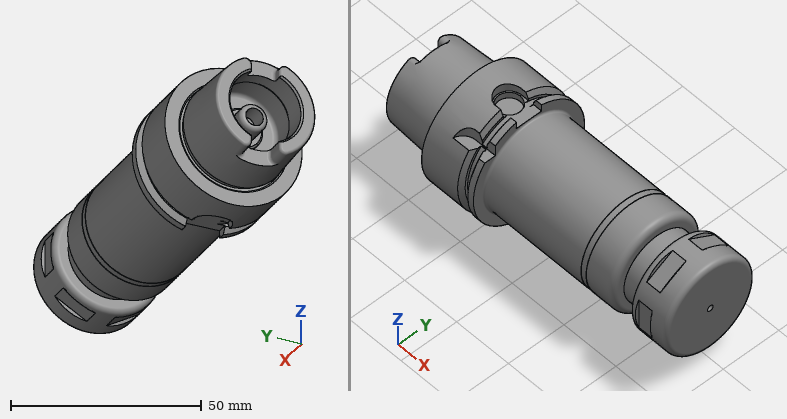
import cadquery as cq
import math

LENGTH = 110.0

TOLERANCE = 0.01

TAPER_RADIUS = 14.4
TAPER_RATIO = 0.1
TAPER_END = 18.0
TAPER_LAND = 0.5
RELIEF_RADIUS = 14.7
SHANK_EDGE = 0.8

FLANGE_X = 20.0
FLANGE_END = 40.0
FLANGE_RADIUS = 20.0
FACE_RECESS_RADIUS = 16.0
FACE_RECESS_SLOPE = 0.4
FACE_RECESS_DEPTH = 0.3
GROOVE_START = 35.0
GROOVE_WIDTH = 1.9
GROOVE_RADIUS = 17.4
GROOVE_FLANK_HEIGHT = 1.8

BODY_RADIUS = 32.0 / 2
BODY_ROOT = 0.8
BODY_END = 89.5
BODY_ROUND = 2.1
BAND_START = 77.2
BAND_WIDTH = 2.0
BAND_DEPTH = 0.1
NECK_RADIUS = 24.0 / 2

NUT_START = 96.0
NUT_RADIUS = BODY_RADIUS
NUT_ROUND = 1.6
FLAT_COUNT = 6
FLAT_START = 98.6
FLAT_END = 103.7
FLAT_RADIUS = 15.1
FLAT_END_SLOPE = 0.3

MOUTH_RADIUS = 10.3
MOUTH_CHAMFER = 0.5
LIP_X = 7.7
HOLLOW_RADIUS = 11.0
HOLLOW_DEPTH = 16.5
HOLLOW_ROUND = 1.3

TUBE_X = 7.2
TUBE_RADIUS = 8.0 / 2
TUBE_NOSE_ROUND = 1.2
TUBE_BORE_RADIUS = 5.1 / 2
TUBE_BORE_DEPTH = 5.5
COLLAR_RADIUS = 12.0 / 2
COLLAR_HEIGHT = 2.2
COLLAR_CHAMFER = 0.5
COOLANT_RADIUS = 2.0 / 2

DRIVE_HALF_WIDTH = 4.1
DRIVE_TOP_DEPTH = 3.4
DRIVE_BOTTOM_DEPTH = 6.2
DRIVE_FLOOR_ROUND = 0.9
DRIVE_MOUTH_ROUND = 1.6

KEY_END_X = 27.8
KEY_FLOOR = 17.0
KEY_TOP_WIDTH = 9.0
KEY_BOTTOM_WIDTH = 11.0
POCKET_DIAMETER = 8.0
POCKET_DEPTH = 2.2
NOTCH_FLOOR = 12.1
NOTCH_WIDTH = 9.5


def cylinder(start, end, radius):
    return cq.Workplane("YZ", origin=(start, 0, 0)).circle(radius).extrude(end - start)


def revolved(profile):
    """Solid of revolution about X from (x, radius) points."""
    return cq.Workplane("XY").polyline(profile).close().revolve(360, (0, 0, 0), (1, 0, 0))


def shank_and_flange():
    taper_end_radius = TAPER_RADIUS + TAPER_END * TAPER_RATIO / 2
    flank_width = GROOVE_FLANK_HEIGHT / math.sqrt(3)
    flank_radius = FLANGE_RADIUS - GROOVE_FLANK_HEIGHT
    groove_end = GROOVE_START + GROOVE_WIDTH
    recess_x = FLANGE_X + FACE_RECESS_DEPTH
    profile = [
        (0, 0),
        (0, TAPER_RADIUS),
        (TAPER_END, taper_end_radius),
        (TAPER_END + TAPER_LAND, taper_end_radius),
        (TAPER_END + TAPER_LAND, RELIEF_RADIUS),
        (recess_x, RELIEF_RADIUS),
        (recess_x, FACE_RECESS_RADIUS - FACE_RECESS_SLOPE),
        (FLANGE_X, FACE_RECESS_RADIUS),
        (FLANGE_X, FLANGE_RADIUS),
        (GROOVE_START - flank_width, FLANGE_RADIUS),
        (GROOVE_START, flank_radius),
        (GROOVE_START, GROOVE_RADIUS),
        (groove_end, GROOVE_RADIUS),
        (groove_end, flank_radius),
        (groove_end + flank_width, FLANGE_RADIUS),
        (FLANGE_END, FLANGE_RADIUS),
        (FLANGE_END, 0),
    ]
    return revolved(profile)


def hollow():
    lip_end = LIP_X + HOLLOW_RADIUS - MOUTH_RADIUS
    profile = [
        (0, 0),
        (0, MOUTH_RADIUS + MOUTH_CHAMFER),
        (MOUTH_CHAMFER, MOUTH_RADIUS),
        (LIP_X, MOUTH_RADIUS),
        (lip_end, HOLLOW_RADIUS),
        (HOLLOW_DEPTH, HOLLOW_RADIUS),
        (HOLLOW_DEPTH, 0),
    ]
    return revolved(profile).faces(">X").edges().fillet(HOLLOW_ROUND)


def drive_slot(depth):
    """Square-cornered slot open at the shank end and upward."""
    return cq.Workplane("XY").box(
        2 * depth, 2 * DRIVE_HALF_WIDTH, FLANGE_RADIUS, centered=(True, True, False)
    )


def is_on_drive_slot_wall(edge):
    return abs(abs(edge.Center().y) - DRIVE_HALF_WIDTH) < TOLERANCE


def is_drive_slot_mouth(edge):
    """True for the four edges where the slot walls meet the tapered surface."""
    box = edge.BoundingBox()
    in_shank_wall = abs(edge.Center().z) > TAPER_RADIUS / 2
    return is_on_drive_slot_wall(edge) and in_shank_wall and box.xmin < TOLERANCE < box.xlen


def is_drive_slot_corner(edge):
    """True for the four straight edges where the slot walls meet the slot floors."""
    box = edge.BoundingBox()
    return is_on_drive_slot_wall(edge) and box.xmin > TOLERANCE > box.xlen


def round_edges(solid, is_wanted, radius):
    wanted = [edge for edge in solid.edges().vals() if is_wanted(edge)]
    return solid.newObject(wanted).fillet(radius)


def slotted_shank():
    """Shank with both drive slots, their edges and the open end rounded, then hollowed."""
    shank = shank_and_flange().cut(drive_slot(DRIVE_TOP_DEPTH))
    shank = shank.cut(turned_over(drive_slot(DRIVE_BOTTOM_DEPTH)))
    shank = round_edges(shank, is_drive_slot_mouth, DRIVE_MOUTH_ROUND)
    shank = round_edges(shank, is_drive_slot_corner, DRIVE_FLOOR_ROUND)
    shank = shank.faces("<X").edges().fillet(SHANK_EDGE)
    return shank.cut(hollow())


def body_neck_and_nut():
    root_x = FLANGE_END + BODY_ROOT
    bend = BODY_ROOT * (1 - math.sqrt(0.5))
    root = (
        cq.Workplane("XY")
        .moveTo(FLANGE_END, 0)
        .lineTo(FLANGE_END, BODY_RADIUS + BODY_ROOT)
        .threePointArc((FLANGE_END + bend, BODY_RADIUS + bend), (root_x, BODY_RADIUS))
        .lineTo(root_x, 0)
        .close()
        .revolve(360, (0, 0, 0), (1, 0, 0))
    )
    body = cylinder(root_x, BODY_END, BODY_RADIUS).faces(">X").edges().fillet(BODY_ROUND)
    band_end = BAND_START + BAND_WIDTH
    band = cylinder(BAND_START, band_end, BODY_RADIUS).cut(
        cylinder(BAND_START, band_end, BODY_RADIUS - BAND_DEPTH)
    )
    neck = cylinder(BODY_END, NUT_START, NECK_RADIUS)
    nut = cylinder(NUT_START, LENGTH, NUT_RADIUS).faces("<X or >X").edges().fillet(NUT_ROUND)
    return root.union(body).cut(band).union(neck).union(nut.cut(wrench_flats()))


def wrench_flats():
    """Flat-bottomed cutters with sloped ends, spaced evenly around the nut."""
    profile = [
        (FLAT_START, FLAT_RADIUS),
        (FLAT_START - FLAT_END_SLOPE, NUT_RADIUS),
        (FLAT_END + FLAT_END_SLOPE, NUT_RADIUS),
        (FLAT_END, FLAT_RADIUS),
    ]
    flat = cq.Workplane("XY").polyline(profile).close().extrude(NUT_RADIUS, both=True)
    cutters = flat
    for index in range(1, FLAT_COUNT):
        cutters = cutters.union(flat.rotate((0, 0, 0), (1, 0, 0), index * 360 / FLAT_COUNT))
    return cutters


def round_ended_slot(width, centre_y, floor):
    """Slot cutter along X above a flat floor, with a round end and open toward +X."""
    centre_x = KEY_END_X + width / 2
    run = FLANGE_END - centre_x
    base = cq.Workplane("XY", origin=(centre_x, centre_y, floor))
    end = base.circle(width / 2).extrude(FLANGE_RADIUS)
    straight = base.center(run / 2, 0).rect(run, width).extrude(FLANGE_RADIUS)
    return end.union(straight)


def keyway(width):
    return round_ended_slot(width, 0, KEY_FLOOR)


def round_pocket():
    return (
        cq.Workplane("XY", origin=(KEY_END_X + KEY_TOP_WIDTH / 2, 0, KEY_FLOOR - POCKET_DEPTH))
        .circle(POCKET_DIAMETER / 2)
        .extrude(FLANGE_RADIUS)
    )


def corner_notch():
    """Notch on the -Y, +Z quarter of the flange, with a flat floor and a round end."""
    return round_ended_slot(NOTCH_WIDTH, -NOTCH_FLOOR - NOTCH_WIDTH / 2, NOTCH_FLOOR)


def coolant_tube():
    """Round-nosed tube with a blind bore, standing on a chamfered collar."""
    tube = cylinder(TUBE_X, HOLLOW_DEPTH, TUBE_RADIUS).faces("<X").edges().fillet(TUBE_NOSE_ROUND)
    collar_x = HOLLOW_DEPTH - COLLAR_HEIGHT
    collar = cylinder(collar_x, HOLLOW_DEPTH, COLLAR_RADIUS).faces("<X").edges().chamfer(COLLAR_CHAMFER)
    bore = cylinder(TUBE_X, TUBE_X + TUBE_BORE_DEPTH, TUBE_BORE_RADIUS)
    return tube.union(collar).cut(bore)


def turned_over(cutter):
    """The same cutter moved to the -Z side."""
    return cutter.rotate((0, 0, 0), (1, 0, 0), 180)


shank = slotted_shank()
for feature in (
    keyway(KEY_TOP_WIDTH),
    turned_over(keyway(KEY_BOTTOM_WIDTH)),
    round_pocket(),
    corner_notch(),
):
    shank = shank.cut(feature)

holder = shank.union(body_neck_and_nut()).union(coolant_tube())
result = holder.cut(cylinder(0, LENGTH, COOLANT_RADIUS))